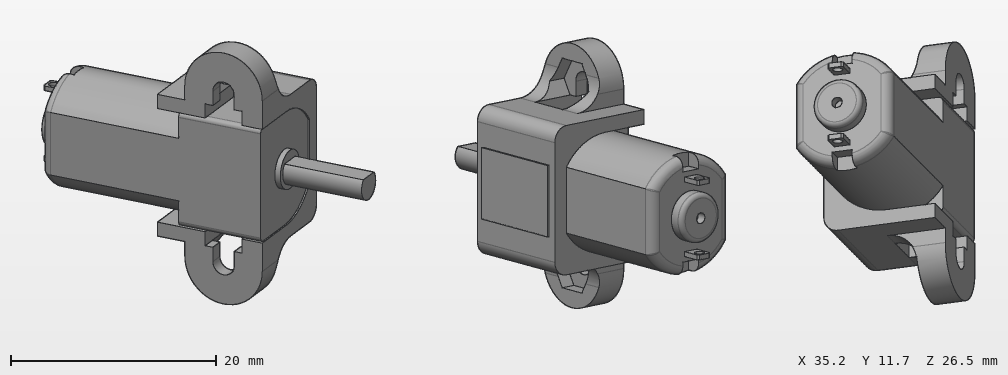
import cadquery as cq
import math


can_radius = 6.0
can_flat = 5.0
flat_half_height = math.sqrt(can_radius**2 - can_flat**2)
can_edge_radius = 1.0
vent_width = 2.05
vent_depth = 1.48

cap_radius = 2.5
cap_length = 1.48
cap_edge_radius = 0.5
cap_hole_radius = 0.53
cap_hole_depth = 1.0

terminal_length = 2.0
terminal_width = 1.6
terminal_thickness = 0.5
terminal_height = 3.75
terminal_hole_radius = 0.5
terminal_hole_inset = 0.75
terminal_chamfer = 0.18

gearbox_start = 15.03
gearbox_end = 24.02
gearbox_edge_radius = 0.5
boss_radius = 2.0
boss_length = 0.6
shaft_diameter = 3.0
shaft_radius = shaft_diameter / 2
shaft_flat = 1.0
shaft_end = 33.25

bracket_start = 12.7
bracket_end = 24.2
bracket_wall = 1.48
bracket_corner_radius = 1.48
bracket_half_height = can_radius + bracket_wall
bracket_back = can_flat + bracket_wall
bracket_front = -can_flat

pad_length = 9.77
pad_height = 7.15
pad_thickness = 0.2
pad_start = bracket_start + 0.85

ear_width = 8.5
ear_thickness = 3.0
ear_fillet_radius = 3.0
ear_reach = 9.0
ear_radius = ear_width / 2
ear_x = bracket_end - ear_radius
ear_back = bracket_front + ear_thickness
blend_back = ear_back + ear_fillet_radius
slot_radius = 1.15
nut_corner_radius = 2.9
nut_floor = bracket_front + ear_thickness / 2
window_width = 4.02


def box(x_range, y_range, z_range):
    """Box spanning the given (start, end) pairs."""
    (x0, x1), (y0, y1), (z0, z1) = x_range, y_range, z_range
    return cq.Workplane("XY").box(x1 - x0, y1 - y0, z1 - z0, centered=False).translate((x0, y0, z0))


def rod(radius, start, end):
    """Cylinder along the motor axis."""
    return cq.Workplane("YZ", origin=(start, 0, 0)).circle(radius).extrude(end - start)


def motor_can():
    can = (
        cq.Workplane("YZ")
        .moveTo(-can_flat, -flat_half_height)
        .threePointArc((0, -can_radius), (can_flat, -flat_half_height))
        .lineTo(can_flat, flat_half_height)
        .threePointArc((0, can_radius), (-can_flat, flat_half_height))
        .close()
        .extrude(gearbox_start)
        .faces("<X").edges().fillet(can_edge_radius)
    )
    vent = box(
        (0, vent_depth),
        (-vent_width / 2, vent_width / 2),
        (can_radius - vent_depth, can_radius),
    )
    return can.cut(vent).cut(vent.mirror("XY"))


def end_cap():
    cap = rod(cap_radius, -cap_length, 0).faces("<X").edges().fillet(cap_edge_radius)
    return cap.cut(rod(cap_hole_radius, -cap_length, cap_hole_depth - cap_length))


def terminal():
    """Flat solder tag above the axis."""
    return (
        box(
            (-terminal_length, 0),
            (-terminal_width / 2, terminal_width / 2),
            (-terminal_thickness / 2, terminal_thickness / 2),
        )
        .edges("|Z and <X").chamfer(terminal_chamfer)
        .cut(
            cq.Workplane("XY", origin=(terminal_hole_inset - terminal_length, 0, -terminal_thickness))
            .circle(terminal_hole_radius)
            .extrude(2 * terminal_thickness)
        )
        .translate((0, 0, terminal_height))
    )


def bore_profile(start, end):
    """Block filling the bracket opening: straight sides at -Y, shaped to the can at +Y."""
    arc_middle = math.asin(can_flat / can_radius) / 2
    mid_y = can_radius * math.sin(arc_middle)
    mid_z = can_radius * math.cos(arc_middle)
    return (
        cq.Workplane("YZ", origin=(start, 0, 0))
        .moveTo(bracket_front, -can_radius)
        .lineTo(0, -can_radius)
        .threePointArc((mid_y, -mid_z), (can_flat, -flat_half_height))
        .lineTo(can_flat, flat_half_height)
        .threePointArc((mid_y, mid_z), (0, can_radius))
        .lineTo(bracket_front, can_radius)
        .close()
        .extrude(end - start)
    )


def gearbox():
    block = bore_profile(gearbox_start, gearbox_end).edges("|X and <Y").fillet(gearbox_edge_radius)
    return block.union(rod(boss_radius, gearbox_end, gearbox_end + boss_length))


def output_shaft():
    shaft = rod(shaft_radius, gearbox_end, shaft_end)
    above_flat = box(
        (gearbox_end, shaft_end),
        (-shaft_radius, shaft_radius),
        (shaft_flat, shaft_radius),
    )
    return shaft.cut(above_flat)


def ear():
    """Round-ended ear above the axis, blended into the bracket wall behind it."""
    x_range = (ear_x - ear_radius, bracket_end)
    round_end = (
        cq.Workplane("XZ", origin=(ear_x, blend_back, ear_reach))
        .circle(ear_radius)
        .extrude(blend_back - bracket_front)
        .intersect(box(x_range, (bracket_front, blend_back), (can_radius, ear_reach + ear_radius)))
    )
    plate = box(x_range, (bracket_front, blend_back), (can_radius, ear_reach)).union(round_end)
    blend_z = bracket_half_height + ear_fillet_radius
    above_blend = box(x_range, (ear_back, blend_back), (blend_z, ear_reach + ear_radius))
    blend = (
        cq.Workplane("YZ", origin=(ear_x - ear_radius, blend_back, blend_z))
        .circle(ear_fillet_radius)
        .extrude(ear_width)
    )
    return plate.cut(above_blend).cut(blend)


def ear_openings():
    """Screw slot, nut pocket and the window through the bracket wall above the axis."""
    slot = (
        cq.Workplane("XZ", origin=(ear_x, blend_back, ear_reach))
        .circle(slot_radius)
        .extrude(blend_back - bracket_front)
    ).union(
        box(
            (ear_x - slot_radius, ear_x + slot_radius),
            (bracket_front, blend_back),
            (can_radius, ear_reach),
        )
    )
    nut = (
        cq.Workplane("XZ", origin=(ear_x, blend_back, ear_reach))
        .polygon(6, 2 * nut_corner_radius)
        .extrude(blend_back - nut_floor)
    )
    window = box(
        (ear_x - window_width / 2, ear_x + window_width / 2),
        (bracket_front, blend_back),
        (can_radius, bracket_half_height),
    )
    return slot.union(nut).union(window)


def bracket():
    body = (
        box(
            (bracket_start, bracket_end),
            (bracket_front, bracket_back),
            (-bracket_half_height, bracket_half_height),
        )
        .edges("|X and >Y").fillet(bracket_corner_radius)
        .cut(bore_profile(bracket_start, bracket_end))
    )
    pad = box(
        (pad_start, pad_start + pad_length),
        (bracket_back, bracket_back + pad_thickness),
        (-pad_height / 2, pad_height / 2),
    )
    upper_ear = ear()
    upper_openings = ear_openings()
    body = body.union(pad).union(upper_ear).union(upper_ear.mirror("XY"))
    return body.cut(upper_openings).cut(upper_openings.mirror("XY"))


upper_terminal = terminal()
result = (
    motor_can()
    .union(end_cap())
    .union(upper_terminal)
    .union(upper_terminal.mirror("XY"))
    .union(gearbox())
    .union(output_shaft())
    .union(bracket())
)